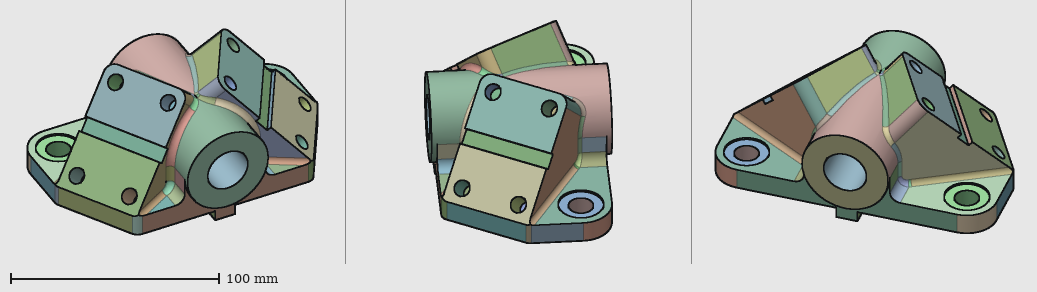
import cadquery as cq
import math

plate_half_x = 40.7
plate_half_y = 70.7
plate_thick = 10.9
key_height = 5.5
key_width = 10.7
bolt_corner_radius = 15.0
bevel_corner_radius = 5.0
bevel_start_x = 0.7
bolt_dia = 12.0
spotface_dia = 21.9
spotface_depth = 1.0

tube_length = 87.0
tube_radius = 21.8
bore_dia = 21.6
axis_z = 24.9
web_fillet = 5.1

turn = 30.0
face_slope = 45.0
block_width = 46.0
block_top_z = 57.0
block_corner_radius = 5.7
block_fillet = 2.5
groove_width = 7.6
groove_depth = 2.5
screw_dia = 7.9
screw_depth = 15.0
screw_spacing_across = 30.0
screw_spacing_down = 48.6

oversize = 14.1
apron_start_y = tube_radius + web_fillet + 1.4

tolerance = 0.001

cos_turn = math.cos(math.radians(turn))
sin_turn = math.sin(math.radians(turn))
bevel_end_y = plate_half_y - (plate_half_x - bevel_start_x) * math.tan(math.radians(turn))
bevel_middle = cq.Vector(
    (bevel_start_x + plate_half_x) / 2, (plate_half_y + bevel_end_y) / 2, plate_thick)
outward = cq.Vector(sin_turn, cos_turn, 0)
across = cq.Vector(cos_turn, -sin_turn, 0)
face_normal = (
    outward * math.sin(math.radians(face_slope))
    + cq.Vector(0, 0, math.cos(math.radians(face_slope)))
)
face_length = (block_top_z - plate_thick) / math.sin(math.radians(face_slope))
face_rise = cq.Vector(0, 0, block_top_z - plate_thick)
face_run = outward * ((block_top_z - plate_thick) / math.tan(math.radians(face_slope)))
face_center = bevel_middle + (face_rise - face_run) * 0.5
face_plane = cq.Plane(origin=face_center, xDir=across, normal=face_normal)


def plate_outline(height):
    """Half of the plate outline (y >= 0) raised to a height."""
    prism = (
        cq.Workplane("XY")
        .polyline([
            (-plate_half_x, 0),
            (plate_half_x, 0),
            (plate_half_x, bevel_end_y),
            (bevel_start_x, plate_half_y),
            (-plate_half_x, plate_half_y),
        ])
        .close()
        .extrude(height)
    )
    prism = prism.edges("|Z").edges("<X").edges(">Y").fillet(bolt_corner_radius)
    for x, y in ((bevel_start_x, plate_half_y), (plate_half_x, bevel_end_y)):
        corner = cq.selectors.NearestToPointSelector((x, y, height / 2))
        prism = prism.edges(corner).fillet(bevel_corner_radius)
    return prism


def tube():
    """Solid bearing tube along X."""
    start = cq.Workplane("YZ", origin=(-tube_length / 2, 0, axis_z))
    return start.circle(tube_radius).extrude(tube_length)


def positive_side():
    """Space on the y >= 0 side that holds the oversized stock."""
    return cq.Workplane("XY").box(
        4 * plate_half_x, plate_half_y + oversize, 2 * block_top_z, centered=(True, False, False))


def trim_envelope():
    """Plate outline plus a wider band around the tube and web, which are already to size."""
    band = cq.Workplane("XY").box(
        tube_length + oversize, apron_start_y, block_top_z, centered=(True, False, False))
    return plate_outline(block_top_z).union(band)


def foundation_half():
    """Oversized plate with the web blended into it, joined to the tube."""
    length = 2 * plate_half_x
    apron_length = length + 2 * oversize
    apron_width = plate_half_y + oversize - apron_start_y
    plate = cq.Workplane("XY").box(length, apron_start_y, plate_thick, centered=(True, False, False))
    apron = (
        cq.Workplane("XY", origin=(0, apron_start_y, 0))
        .box(apron_length, apron_width, plate_thick, centered=(True, False, False))
    )
    web = cq.Workplane("XY").box(length, tube_radius, axis_z, centered=(True, False, False))
    inside_corner = cq.selectors.NearestToPointSelector((0, tube_radius, plate_thick))
    base = plate.union(apron).union(web).edges(inside_corner).fillet(web_fillet)
    return base.union(tube().intersect(positive_side()))


def raw_block():
    """Inclined block with rounded upper corners, left too long and proud of its mounting face."""
    length = 3 * face_length
    body = (
        cq.Workplane(face_plane)
        .workplane(offset=oversize)
        .center(0, (length - face_length) / 2)
        .rect(block_width, length)
        .extrude(-2 * face_length)
        .edges(cq.selectors.ParallelDirSelector(face_normal))
        .fillet(block_corner_radius)
    )
    return body.intersect(positive_side())


def blended(foundation, mount):
    """Join a block to the foundation and round the inside corner between them."""
    joined = foundation.union(mount)
    seam = []
    for edge in joined.edges().vals():
        middle = cq.Vertex.makeVertex(*edge.positionAt(0.5).toTuple())
        on_seam = all(middle.distance(solid.val()) < tolerance for solid in (foundation, mount))
        inside = tolerance < middle.Y < plate_half_y + oversize - tolerance
        if on_seam and inside and middle.Z > plate_thick - tolerance:
            seam.append(edge)
    return joined.newObject(seam).fillet(block_fillet)


def face_cuts():
    """Material removed from a block: everything above its face, the cross groove and the screw holes."""
    face = cq.Workplane(face_plane)
    cut_width = block_width + 2 * block_fillet
    above = face.rect(cut_width, 4 * plate_half_y).extrude(2 * plate_half_y)
    groove = face.rect(cut_width, groove_width).extrude(-groove_depth)
    screws = (
        face.rarray(screw_spacing_across, screw_spacing_down, 2, 2)
        .circle(screw_dia / 2)
        .extrude(-screw_depth)
    )
    return above.union(groove).union(screws)


def bolt_hole():
    """Spotfaced clearance hole, concentric with the rounded plate corner."""
    center = cq.Workplane("XY", origin=(
        bolt_corner_radius - plate_half_x, plate_half_y - bolt_corner_radius, 0))
    hole = center.circle(bolt_dia / 2).extrude(plate_thick)
    spotface = center.workplane(offset=plate_thick - spotface_depth).circle(spotface_dia / 2)
    return hole.union(spotface.extrude(spotface_depth))


half = blended(foundation_half(), raw_block()).cut(face_cuts())
half = half.intersect(trim_envelope()).cut(bolt_hole())

key = cq.Workplane("XY").box(2 * plate_half_x, key_width, key_height).translate((0, 0, -key_height / 2))
bore = cq.Workplane("YZ", origin=(-tube_length / 2, 0, axis_z)).circle(bore_dia / 2).extrude(tube_length)

result = tube().union(half).union(half.mirror("XZ")).union(key).cut(bore).clean()